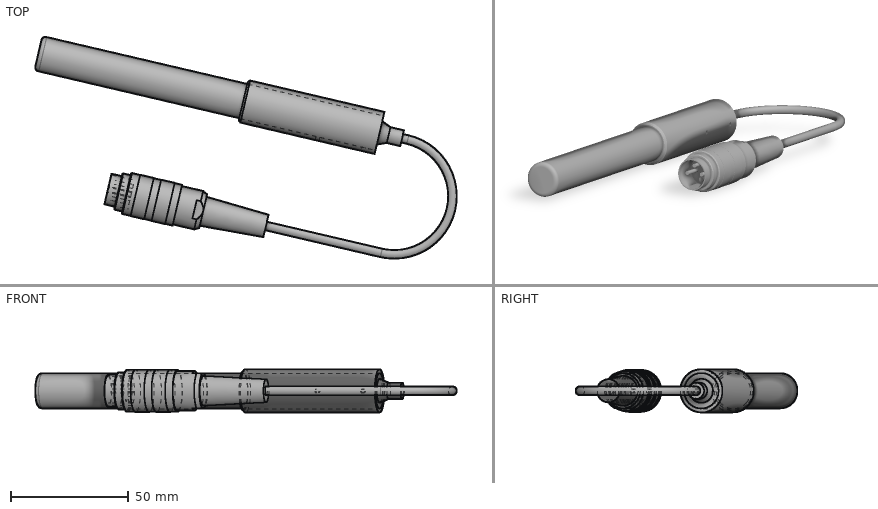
import cadquery as cq
import math

TILT_ANGLE = math.degrees(math.atan(0.2337))

CABLE_DIA = 3.8
BEND_RADIUS = 24.9
PROBE_AXIS_Y = BEND_RADIUS
PLUG_AXIS_Y = -BEND_RADIUS

ROD_TIP_X = -162.0
ROD_DIA = 15.1
ROD_TIP_FILLET = 1.8
GLAND_BASE_DIA = 10.3
GLAND_DIA = 7.0
GLAND_CONE_LENGTH = 4.0
GLAND_LENGTH = 10.0

SLEEVE_DIA = 18.5
SLEEVE_START_X = -72.0
SLEEVE_LENGTH = 59.8
SLEEVE_END_X = SLEEVE_START_X + SLEEVE_LENGTH
SLEEVE_CHAMFER = 0.9
SCREW_HOLE_DIA = 1.7
SCREW_HOLE_SPACING = 20.0
LAST_SCREW_HOLE_INSET = 5.4

PLUG_TIP_X = -119.8
NOSE_LENGTH = 4.5
NOSE_DIA = 13.5
COLLAR_LENGTH = 3.6
COLLAR_DIA = 16.0
GRIP_DIA = 18.2
GRIP_GROOVE_DIA = 18.0
FRONT_CHAMFER = 0.4
GRIP_START_LENGTH = 4.0
GRIP_BAND_COUNT = 2
GRIP_BAND_LENGTH = 6.0
GRIP_GROOVE_LENGTH = 3.2
BACK_DIA = 17.0
BACK_END_DIA = 15.0
BACK_LENGTH = 9.4
BACK_CHAMFER_LENGTH = 2.0
BOOT_START_DIA = 12.8
BOOT_END_DIA = 10.0
BOOT_LENGTH = 27.5
FLAT_LENGTH = 3.8

SOCKET_DIA = 12.6
SOCKET_DEPTH = 10.1
PIN_DIA = 1.7
PIN_LENGTH = 8.0
PIN_CIRCLE_DIA = 7.0
PIN_ANGLES = (0, 90, 180)
PEG_DIA = 2.2
PEG_LENGTH = 2.2
PEG_ANGLE = 270
KEY_WIDTH = 2.5
KEY_HEIGHT = 1.3
KEY_INSET = 0.4

COLLAR_START_X = PLUG_TIP_X + NOSE_LENGTH
GRIP_START_X = COLLAR_START_X + COLLAR_LENGTH
GRIP_PITCH = GRIP_BAND_LENGTH + GRIP_GROOVE_LENGTH
GRIP_END_X = GRIP_START_X + GRIP_START_LENGTH + GRIP_BAND_COUNT * GRIP_PITCH
BACK_END_X = GRIP_END_X + BACK_LENGTH + BACK_CHAMFER_LENGTH
BOOT_END_X = BACK_END_X + BOOT_LENGTH
SOCKET_FLOOR_X = PLUG_TIP_X + SOCKET_DEPTH


def rod_along_x(dia, start_x, length, axis_y, axis_z=0):
    """A cylinder parallel to X."""
    return cq.Workplane("YZ", origin=(start_x, axis_y, axis_z)).circle(dia / 2).extrude(length)


def turned(sections, axis_y):
    """A solid of revolution about a line parallel to X, through (x, diameter) points."""
    outline = [(x, axis_y + dia / 2) for x, dia in sections]
    first_x = sections[0][0]
    last_x = sections[-1][0]
    profile = cq.Workplane("XY").polyline([(first_x, axis_y), *outline, (last_x, axis_y)]).close()
    return profile.revolve(360, (0, axis_y, 0), (1, axis_y, 0))


def make_probe():
    rod = rod_along_x(ROD_DIA, ROD_TIP_X, SLEEVE_END_X - ROD_TIP_X, PROBE_AXIS_Y)
    rod = rod.faces("<X").edges().fillet(ROD_TIP_FILLET)
    gland = turned(
        [
            (SLEEVE_END_X, GLAND_BASE_DIA),
            (SLEEVE_END_X + GLAND_CONE_LENGTH, GLAND_DIA),
            (SLEEVE_END_X + GLAND_LENGTH, GLAND_DIA),
        ],
        PROBE_AXIS_Y,
    )
    return rod.union(gland)


def make_sleeve():
    sleeve = rod_along_x(SLEEVE_DIA, SLEEVE_START_X, SLEEVE_LENGTH, PROBE_AXIS_Y)
    sleeve = sleeve.faces("<X").edges().chamfer(SLEEVE_CHAMFER)
    sleeve = sleeve.cut(rod_along_x(ROD_DIA, SLEEVE_START_X, SLEEVE_LENGTH, PROBE_AXIS_Y))

    last_hole_x = SLEEVE_END_X - LAST_SCREW_HOLE_INSET
    for hole_x in (last_hole_x - SCREW_HOLE_SPACING, last_hole_x):
        drill = (
            cq.Workplane("XZ", origin=(hole_x, PROBE_AXIS_Y, 0))
            .circle(SCREW_HOLE_DIA / 2)
            .extrude(SLEEVE_DIA)
        )
        sleeve = sleeve.cut(drill)
    return sleeve


def make_cable():
    probe_end = (SLEEVE_END_X + GLAND_LENGTH, PROBE_AXIS_Y)
    path = (
        cq.Workplane("XY")
        .moveTo(*probe_end)
        .lineTo(0, PROBE_AXIS_Y)
        .threePointArc((BEND_RADIUS, 0), (0, PLUG_AXIS_Y))
        .lineTo(BOOT_END_X, PLUG_AXIS_Y)
    )
    section = cq.Workplane("YZ", origin=(*probe_end, 0)).circle(CABLE_DIA / 2)
    return section.sweep(path)


def make_plug_shell():
    band_start_x = GRIP_START_X + GRIP_START_LENGTH
    sections = [
        (PLUG_TIP_X, NOSE_DIA),
        (COLLAR_START_X, NOSE_DIA),
        (COLLAR_START_X, COLLAR_DIA - 2 * FRONT_CHAMFER),
        (COLLAR_START_X + FRONT_CHAMFER, COLLAR_DIA),
        (GRIP_START_X, COLLAR_DIA),
        (GRIP_START_X, GRIP_GROOVE_DIA - 2 * FRONT_CHAMFER),
        (GRIP_START_X + FRONT_CHAMFER, GRIP_GROOVE_DIA),
        (band_start_x, GRIP_GROOVE_DIA),
    ]

    for _ in range(GRIP_BAND_COUNT):
        band_end_x = band_start_x + GRIP_BAND_LENGTH
        groove_end_x = band_end_x + GRIP_GROOVE_LENGTH
        sections += [
            (band_start_x, GRIP_DIA),
            (band_end_x, GRIP_DIA),
            (band_end_x, GRIP_GROOVE_DIA),
            (groove_end_x, GRIP_GROOVE_DIA),
        ]
        band_start_x = groove_end_x

    sections += [
        (GRIP_END_X, BACK_DIA),
        (GRIP_END_X + BACK_LENGTH, BACK_DIA),
        (BACK_END_X, BACK_END_DIA),
        (BACK_END_X, BOOT_START_DIA),
        (BOOT_END_X, BOOT_END_DIA),
    ]
    return turned(sections, PLUG_AXIS_Y)


def cut_wrench_flats(plug):
    """Two flats, above and below, at the back of the plug shell."""
    for side in (1, -1):
        flat_z = side * (BACK_END_DIA + BACK_DIA) / 2
        cutter = cq.Workplane("XY", origin=(BACK_END_X - FLAT_LENGTH / 2, PLUG_AXIS_Y, flat_z)).box(
            FLAT_LENGTH, BACK_DIA, BACK_DIA
        )
        plug = plug.cut(cutter)
    return plug


def make_key():
    """The keying rib along the bottom of the socket, sunk into the shell wall."""
    rib_length = SOCKET_DEPTH - KEY_INSET
    wall_middle_z = -(NOSE_DIA + SOCKET_DIA) / 4
    rib_top_z = -SOCKET_DIA / 2 + KEY_HEIGHT
    return cq.Workplane("XY", origin=(SOCKET_FLOOR_X - rib_length, PLUG_AXIS_Y, wall_middle_z)).box(
        rib_length, KEY_WIDTH, rib_top_z - wall_middle_z, centered=(False, True, False)
    )


def make_pin(dia, length, angle):
    """A pin standing on the socket floor, at an angle around the pin circle."""
    pin_y = PLUG_AXIS_Y + PIN_CIRCLE_DIA / 2 * math.cos(math.radians(angle))
    pin_z = PIN_CIRCLE_DIA / 2 * math.sin(math.radians(angle))
    return rod_along_x(dia, SOCKET_FLOOR_X - length, length, pin_y, pin_z)


def make_plug():
    plug = cut_wrench_flats(make_plug_shell())
    plug = plug.cut(rod_along_x(SOCKET_DIA, PLUG_TIP_X, SOCKET_DEPTH, PLUG_AXIS_Y))
    plug = plug.union(make_key())
    for angle in PIN_ANGLES:
        plug = plug.union(make_pin(PIN_DIA, PIN_LENGTH, angle))
    return plug.union(make_pin(PEG_DIA, PEG_LENGTH, PEG_ANGLE))


def tilt(body):
    return body.rotate((0, 0, 0), (0, 0, 1), -TILT_ANGLE)


probe = tilt(make_probe())
sleeve = tilt(make_sleeve())
cable = tilt(make_cable())
plug = tilt(make_plug())

result = cq.Compound.makeCompound([probe.val(), sleeve.val(), cable.val(), plug.val()])